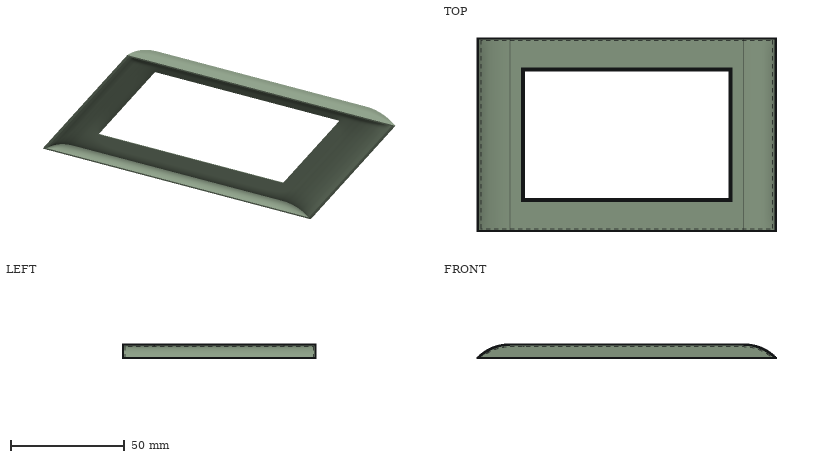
import cadquery as cq
import math

LENGTH = 131.5
WIDTH = 85.0
HEIGHT = 6.0

EDGE_RADIUS = 20.0
WALL = 1.0
WINDOW_LENGTH = 90.5
WINDOW_WIDTH = 56.5


def rounded_bar(radius, top, width):
    """Bar along Y with a flat base at Z = 0 and sides that curve up to a flat top."""
    center_x = LENGTH / 2 - math.sqrt(EDGE_RADIUS**2 - (EDGE_RADIUS - HEIGHT) ** 2)
    center_z = HEIGHT - EDGE_RADIUS
    base_x = center_x + math.sqrt(radius**2 - center_z**2)

    mid_angle = math.acos(-center_z / radius) / 2
    mid_x = center_x + radius * math.sin(mid_angle)
    mid_z = center_z + radius * math.cos(mid_angle)

    return (
        cq.Workplane("XZ")
        .moveTo(-base_x, 0)
        .lineTo(base_x, 0)
        .threePointArc((mid_x, mid_z), (center_x, top))
        .lineTo(-center_x, top)
        .threePointArc((-mid_x, mid_z), (-base_x, 0))
        .close()
        .extrude(width / 2, both=True)
    )


def beveled_window():
    """Opening through the top wall, widening upward at 45 degrees."""
    return (
        cq.Workplane("XY")
        .workplane(offset=HEIGHT - WALL)
        .rect(WINDOW_LENGTH, WINDOW_WIDTH)
        .workplane(offset=WALL)
        .rect(WINDOW_LENGTH + 2 * WALL, WINDOW_WIDTH + 2 * WALL)
        .loft(ruled=True)
    )


outer_body = rounded_bar(EDGE_RADIUS, HEIGHT, WIDTH)
cavity = rounded_bar(EDGE_RADIUS - WALL, HEIGHT - WALL, WIDTH - 2 * WALL)

result = outer_body.cut(cavity).cut(beveled_window())